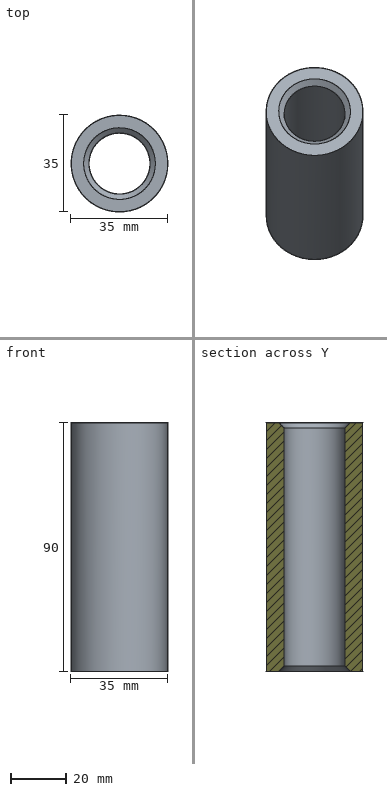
import cadquery as cq

length = 90.0
outer_diameter = 35.0
bore_diameter = 22.0
bore_chamfer = 2.0

tube = (
    cq.Workplane("XY")
    .circle(outer_diameter / 2)
    .circle(bore_diameter / 2)
    .extrude(length)
)

bore_rims = [
    edge
    for edge in tube.faces("<Z or >Z").edges("%CIRCLE").vals()
    if edge.radius() < outer_diameter / 2 - bore_chamfer
]

result = tube.newObject(bore_rims).chamfer(bore_chamfer)